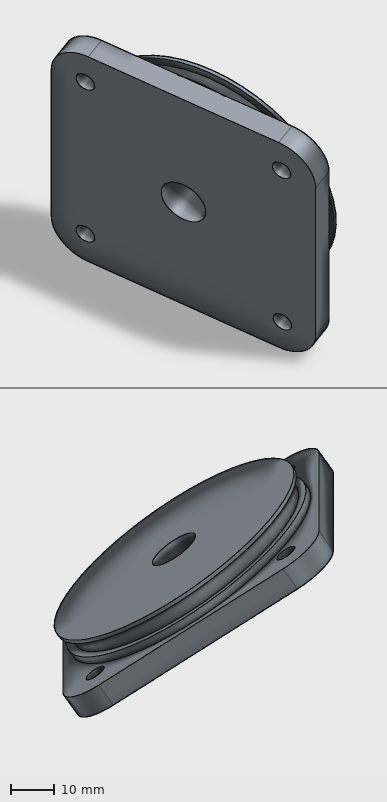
import cadquery as cq

plate_side = 71.5
plate_thickness = 6.0
corner_radius = 10.0

flange_diameter = 67.0
groove_diameter = 63.0
inner_flange_width = 2.0
groove_width = 4.0
outer_flange_width = 1.0

bore_diameter = 12.0
bolt_hole_diameter = 5.0
bolt_offset = 26.5
odd_bolt_shift = 0.2

depth = plate_thickness + inner_flange_width + groove_width + outer_flange_width


def cylinder(diameter, length, start_y, x=0, z=0):
    """Cylinder along +Y that starts at start_y, with its axis at (x, z)."""
    return cq.Workplane(
        cq.Solid.makeCylinder(diameter / 2, length, cq.Vector(x, start_y, z), cq.Vector(0, 1, 0))
    )


result = (
    cq.Workplane("XY")
    .box(plate_side, plate_thickness, plate_side, centered=(True, False, True))
    .edges("|Y")
    .fillet(corner_radius)
)

start_y = plate_thickness
for diameter, width in (
    (flange_diameter, inner_flange_width),
    (groove_diameter, groove_width),
    (flange_diameter, outer_flange_width),
):
    result = result.union(cylinder(diameter, width, start_y))
    start_y += width

result = result.cut(cylinder(bore_diameter, depth, 0))
bolt_positions = (
    (-bolt_offset, bolt_offset),
    (bolt_offset, bolt_offset),
    (-bolt_offset, -bolt_offset),
    (bolt_offset + odd_bolt_shift, -bolt_offset + odd_bolt_shift),
)
for x, z in bolt_positions:
    result = result.cut(cylinder(bolt_hole_diameter, depth, 0, x, z))